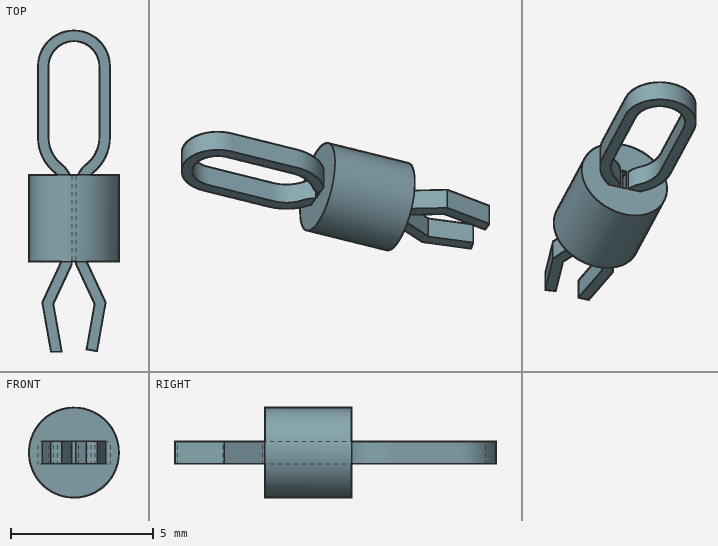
import cadquery as cq
import math

BEAD_DIAMETER = 3.175
BEAD_LENGTH = 3.05

STRIP_THICKNESS = 0.38
STRIP_WIDTH = 0.79
LOOP_RADIUS = 1.27
LOOP_TOP = 8.13
LOOP_STRAIGHT = 2.49
NECK_RADIUS = 1.40
RETURN_RADIUS = 0.75
LEG_HALF_GAP = 0.07

SPREAD_START = -0.045
SPREAD_ANGLE = 25.0
ELBOW_Y = -1.46
TIP_ANGLE = 10.0
TIP_Y = -3.12
FLAT_TIP_Y = -3.17

HALF_THICKNESS = STRIP_THICKNESS / 2


def tangent(degrees):
    return math.tan(math.radians(degrees))


def offset_point(point, angle, offset):
    """Move a point by offset away from the mid-plane, square to a strip sloped at angle."""
    x, y = point
    slope = math.radians(angle)
    return x + offset * math.cos(slope), y + offset * math.sin(slope)


def mitre_point(point, angle_before, angle_after, offset):
    """Corner of an offset edge where a strip changes slope at a sharp bend."""
    middle = (angle_before + angle_after) / 2
    half_turn = math.radians((angle_after - angle_before) / 2)
    return offset_point(point, middle, offset / math.cos(half_turn))


def neck_points(offset):
    """Start, middle and end of the two tangent neck bends, offset from the strip's mid-thickness."""
    loop_x = LOOP_RADIUS - HALF_THICKNESS
    leg_x = LEG_HALF_GAP + HALF_THICKNESS
    radius_sum = NECK_RADIUS + RETURN_RADIUS
    neck_angle = math.acos(1 - (loop_x - leg_x) / radius_sum)

    upper_y = LOOP_TOP - LOOP_RADIUS - LOOP_STRAIGHT
    lower_y = upper_y - radius_sum * math.sin(neck_angle)
    upper_center = (loop_x - NECK_RADIUS, upper_y)
    lower_center = (leg_x + RETURN_RADIUS, lower_y)
    slope = math.degrees(neck_angle)
    angles = (0, -slope / 2, -slope)
    upper = [offset_point(upper_center, angle, NECK_RADIUS + offset) for angle in angles]
    lower = [offset_point(lower_center, angle, offset - RETURN_RADIUS) for angle in reversed(angles)]
    return upper, lower


def leg_points(offset):
    """Spread bend, elbow and tip of a leg, offset from the strip's mid-thickness."""
    leg_x = LEG_HALF_GAP + HALF_THICKNESS
    elbow_x = leg_x + (SPREAD_START - ELBOW_Y) * tangent(SPREAD_ANGLE)
    tip_x = elbow_x - (ELBOW_Y - TIP_Y) * tangent(TIP_ANGLE)
    spread = mitre_point((leg_x, SPREAD_START), 0, SPREAD_ANGLE, offset)
    elbow = mitre_point((elbow_x, ELBOW_Y), SPREAD_ANGLE, -TIP_ANGLE, offset)
    tip = offset_point((tip_x, TIP_Y), -TIP_ANGLE, offset)
    return spread, elbow, tip


def square_cut(tip):
    """Slide a tip corner along its edge to the cut square to Y."""
    x, y = tip
    return x - (y - FLAT_TIP_Y) * tangent(TIP_ANGLE), FLAT_TIP_Y


def make_half_strip(flat_tip):
    """Right half of the strip, from the crown of the loop to the tip of one leg."""
    outer_upper, outer_lower = neck_points(HALF_THICKNESS)
    inner_upper, inner_lower = neck_points(-HALF_THICKNESS)
    outer_spread, outer_elbow, outer_tip = leg_points(HALF_THICKNESS)
    inner_spread, inner_elbow, inner_tip = leg_points(-HALF_THICKNESS)
    if flat_tip:
        outer_tip = square_cut(outer_tip)
        inner_tip = square_cut(inner_tip)

    inner_radius = LOOP_RADIUS - STRIP_THICKNESS
    loop_center_y = LOOP_TOP - LOOP_RADIUS
    diagonal = math.sqrt(0.5)
    outer_mid = (LOOP_RADIUS * diagonal, loop_center_y + LOOP_RADIUS * diagonal)
    inner_mid = (inner_radius * diagonal, loop_center_y + inner_radius * diagonal)

    outline = (
        cq.Workplane("XY", origin=(0, 0, -STRIP_WIDTH / 2))
        .moveTo(0, LOOP_TOP)
        .threePointArc(outer_mid, (LOOP_RADIUS, loop_center_y))
        .lineTo(*outer_upper[0])
        .threePointArc(outer_upper[1], outer_upper[2])
        .threePointArc(outer_lower[1], outer_lower[2])
        .lineTo(*outer_spread)
        .lineTo(*outer_elbow)
        .lineTo(*outer_tip)
        .lineTo(*inner_tip)
        .lineTo(*inner_elbow)
        .lineTo(*inner_spread)
        .lineTo(*inner_lower[2])
        .threePointArc(inner_lower[1], inner_lower[0])
        .threePointArc(inner_upper[1], inner_upper[0])
        .lineTo(inner_radius, loop_center_y)
        .threePointArc(inner_mid, (0, loop_center_y + inner_radius))
        .close()
    )
    return outline.extrude(STRIP_WIDTH)


def make_bead():
    """Cylindrical bead with a slit through it, as wide as the gap between the legs."""
    bead = cq.Workplane("XZ").circle(BEAD_DIAMETER / 2).extrude(-BEAD_LENGTH)
    slit = cq.Workplane("XZ").rect(2 * LEG_HALF_GAP, STRIP_WIDTH).extrude(-BEAD_LENGTH)
    return bead.cut(slit)


right_half = make_half_strip(flat_tip=False)
left_half = make_half_strip(flat_tip=True).mirror("YZ")
result = make_bead().union(right_half).union(left_half).clean()